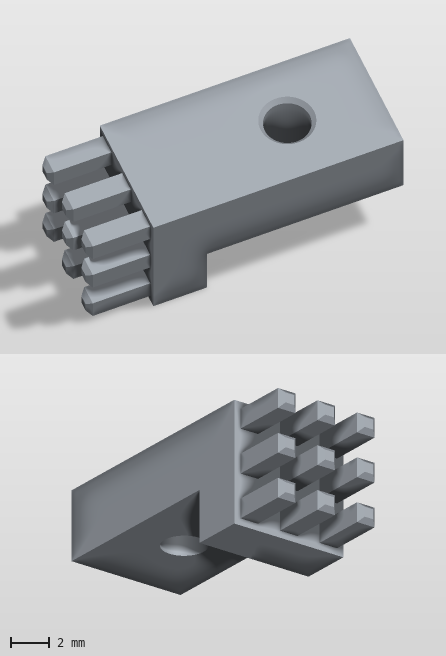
import cadquery as cq

body_width = 7.0
body_length = 14.0
body_height = 7.0
arm_thickness = 4.0
foot_length = 3.0

hole_diameter = 2.5
hole_chamfer = 0.25
hole_chamfer_angle = 90.0
hole_from_back = 5.0

pin_rows = 3
pin_columns = 3
pin_pitch = 2.54
pin_width = 1.12
pin_length = 3.5
pin_tip_chamfer = 0.28


def make_body():
    """L-shaped block: front face at y = 0, underside of the foot at z = 0."""
    block = cq.Workplane("XY").box(body_width, body_length, body_height, centered=(True, False, False))
    relief = (
        cq.Workplane("XY")
        .box(
            body_width,
            body_length - foot_length,
            body_height - arm_thickness,
            centered=(True, False, False),
        )
        .translate((0, foot_length, 0))
    )
    return block.cut(relief)


def add_mounting_hole(body):
    """Vertical through hole, chamfered at the top face."""
    return (
        body.faces(">Z")
        .workplane(origin=(0, body_length - hole_from_back, body_height))
        .cskHole(hole_diameter, hole_diameter + 2 * hole_chamfer, hole_chamfer_angle)
    )


def make_pins():
    """Grid of pins projecting from the centre of the front face toward -Y."""
    return (
        cq.Workplane("XZ", origin=(0, 0, body_height / 2))
        .rarray(pin_pitch, pin_pitch, pin_columns, pin_rows)
        .rect(pin_width, pin_width)
        .extrude(pin_length)
        .faces("<Y")
        .chamfer(pin_tip_chamfer)
    )


result = add_mounting_hole(make_body()).union(make_pins())